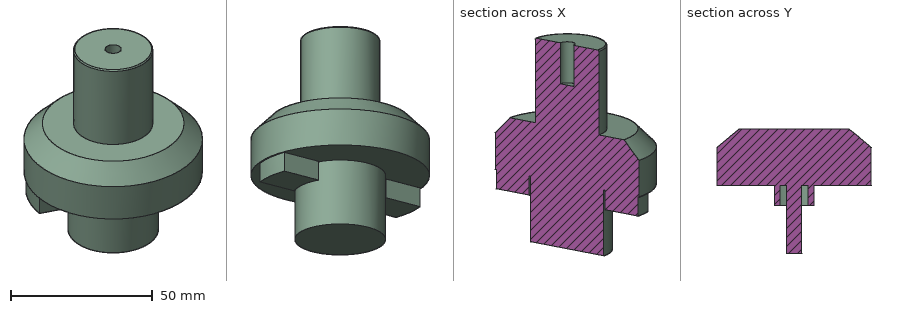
import cadquery as cq

total_height = 75.0
flange_diameter = 63.0

lower_shaft_diameter = 32.0
upper_shaft_diameter = 28.0
upper_shaft_chamfer = 0.45

flange_bottom = 24.0
flange_top = 44.0
flange_chamfer = 6.5

key_width = 14.0
key_height = 7.05
key_outer_diameter = 61.95
key_inner_diameter = 33.0

hole_diameter = 5.6
hole_depth = 15.0


def cylinder(diameter, bottom, top):
    """Vertical cylinder on the Z axis between two heights."""
    return cq.Workplane("XY").workplane(offset=bottom).circle(diameter / 2).extrude(top - bottom)


def make_keys():
    """Bar across the axis, limited to the ring between the two key diameters."""
    key_bottom = flange_bottom - key_height
    bar = (
        cq.Workplane("XY")
        .workplane(offset=key_bottom)
        .rect(key_width, flange_diameter)
        .extrude(key_height)
    )
    outer = cylinder(key_outer_diameter, key_bottom, flange_bottom)
    inner = cylinder(key_inner_diameter, key_bottom, flange_bottom)
    return bar.intersect(outer.cut(inner))


lower_shaft = cylinder(lower_shaft_diameter, 0, flange_bottom)
flange = cylinder(flange_diameter, flange_bottom, flange_top).faces(">Z").chamfer(flange_chamfer)
upper_shaft = (
    cylinder(upper_shaft_diameter, flange_top, total_height)
    .faces(">Z")
    .chamfer(upper_shaft_chamfer)
)
centre_hole = cylinder(hole_diameter, total_height - hole_depth, total_height)

result = lower_shaft.union(flange).union(upper_shaft).union(make_keys()).cut(centre_hole)